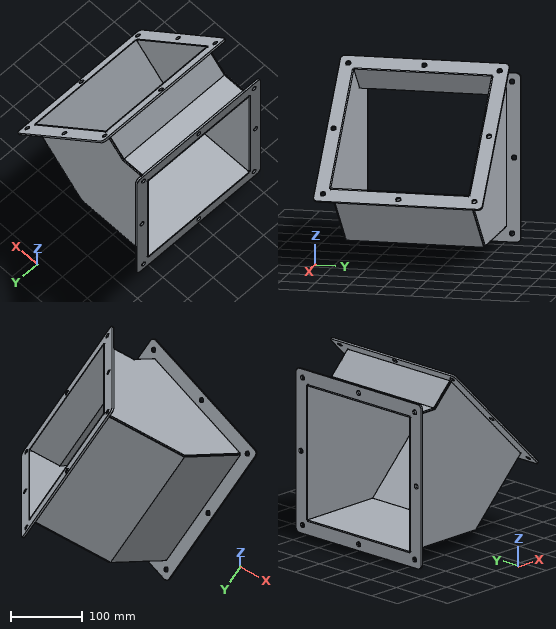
import cadquery as cq
import math


OVERALL_HEIGHT = 273.0
BEND_ANGLE = 45.0

FLANGE_SIZE = 244.3
FLANGE_THICKNESS = 3.0
FLANGE_CORNER_RADIUS = 6.5
HOLE_DIAMETER = 7.0
CORNER_HOLE_OFFSET = 109.5
MIDDLE_HOLE_OFFSET = 112.5

DUCT_INNER_SIZE = 199.3
SHEET_THICKNESS = 2.0

inner_half = DUCT_INNER_SIZE / 2
outer_half = inner_half + SHEET_THICKNESS
flange_half = FLANGE_SIZE / 2
bend_sin = math.sin(math.radians(BEND_ANGLE))
bend_cos = math.cos(math.radians(BEND_ANGLE))
half_bend_tan = math.tan(math.radians(BEND_ANGLE / 2))

leg_length = (OVERALL_HEIGHT - flange_half - flange_half * bend_cos) / bend_sin

axis_height = flange_half
outlet_x = leg_length * (1 + bend_cos)
outlet_z = axis_height + leg_length * bend_sin

inlet_plane = cq.Plane(origin=(0, 0, axis_height), xDir=(0, 1, 0), normal=(-1, 0, 0))
outlet_plane = cq.Plane(
    origin=(outlet_x, 0, outlet_z), xDir=(0, 1, 0), normal=(bend_cos, 0, bend_sin)
)


def duct_line(offset):
    """Inlet, bend and outlet points (X, Z) of a line offset upwards from the duct axis."""
    return [
        (0, axis_height + offset),
        (leg_length - offset * half_bend_tan, axis_height + offset),
        (outlet_x - offset * bend_sin, outlet_z + offset * bend_cos),
    ]


def duct_profile(first_offset, second_offset, start_y, width):
    """Strip between two duct lines, extruded towards +Y from start_y."""
    outline = duct_line(first_offset) + duct_line(second_offset)[::-1]
    return (
        cq.Workplane("XZ", origin=(0, start_y, 0))
        .polyline(outline)
        .close()
        .extrude(-width)
    )


def make_side_panel(start_y):
    return duct_profile(-inner_half, inner_half, start_y, SHEET_THICKNESS)


def make_bent_panel(side):
    """Top panel for side = 1, bottom panel for side = -1."""
    return duct_profile(side * inner_half, side * outer_half, -inner_half, DUCT_INNER_SIZE)


def make_flange(plane):
    flange = (
        cq.Workplane(plane)
        .rect(FLANGE_SIZE, FLANGE_SIZE)
        .extrude(-FLANGE_THICKNESS)
        .edges(cq.selectors.ParallelDirSelector(plane.zDir))
        .fillet(FLANGE_CORNER_RADIUS)
    )

    for width, height in [
        (2 * outer_half, DUCT_INNER_SIZE),
        (DUCT_INNER_SIZE, 2 * outer_half),
    ]:
        opening = cq.Workplane(plane).rect(width, height).extrude(-FLANGE_THICKNESS)
        flange = flange.cut(opening)

    corner_holes = [
        (x * CORNER_HOLE_OFFSET, y * CORNER_HOLE_OFFSET) for x in (-1, 1) for y in (-1, 1)
    ]
    middle_holes = [
        (MIDDLE_HOLE_OFFSET, 0),
        (-MIDDLE_HOLE_OFFSET, 0),
        (0, MIDDLE_HOLE_OFFSET),
        (0, -MIDDLE_HOLE_OFFSET),
    ]
    holes = (
        cq.Workplane(plane)
        .pushPoints(corner_holes + middle_holes)
        .circle(HOLE_DIAMETER / 2)
        .extrude(-FLANGE_THICKNESS)
    )
    return flange.cut(holes).solids()


flanges = [make_flange(plane) for plane in (inlet_plane, outlet_plane)]
side_panels = [make_side_panel(start_y) for start_y in (-outer_half, inner_half)]
bent_panels = [make_bent_panel(side) for side in (1, -1)]

bodies = flanges + side_panels + bent_panels
result = cq.Compound.makeCompound([body.val() for body in bodies])